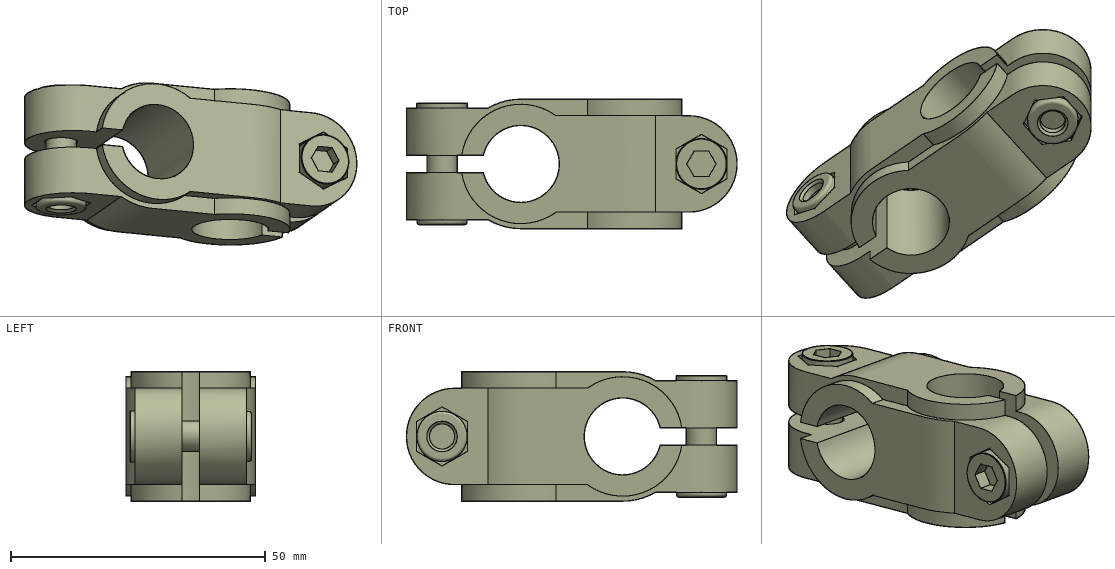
import cadquery as cq
import math


length = 65.0
depth = 25.5
bore_x = 10.0
bore_diameter = 15.1
ring_diameter = 23.45
slot_width = 3.4

arm_width = 19.0
tab_thickness = 22.0
bolt_x = 25.5

shank_diameter = 6.0
clearance_diameter = 6.5
head_diameter = 10.0
head_bevel = 0.1
socket_flats = 5.0
socket_depth = 3.0
bolt_protrusion = 1.0

seat_corner_angle = 30
seat_flats = 10.1
seat_depth = 5.0
nut_recess = 1.0
collar_diameter = 9.9
collar_rounding = 0.6
nut_bore = 4.95
nut_bore_bevel = (shank_diameter - nut_bore) / 2
nut_bore_depth = 1.95

end_x = length / 2
tab_face = tab_thickness / 2
bolt_end = tab_face + bolt_protrusion
seat_floor = tab_face - seat_depth
ease_radius = depth / 2


def turn_to_other_clamp(shape):
    return shape.rotate((0, 0, 0), (0, 1, 1), 180)


def hexagon(flats, bottom, height, corner_angle):
    """Hexagonal prism on the bolt axis; corner_angle is the direction of one corner from X."""
    corners = flats / math.cos(math.pi / 6)
    prism = cq.Workplane("XY").polygon(6, corners).extrude(height)
    return prism.rotate((0, 0, 0), (0, 0, 1), corner_angle).translate((bolt_x, 0, bottom))


def cylinder(diameter, bottom, height):
    return cq.Workplane("XY", origin=(bolt_x, 0, bottom)).circle(diameter / 2).extrude(height)


def body_half():
    """Ring around the Y bar with an arm running to the rounded tab of the other clamp."""
    tab_centre = -end_x + arm_width / 2
    half_width = arm_width / 2
    arm = (
        cq.Workplane("XZ")
        .moveTo(bore_x, -half_width)
        .lineTo(tab_centre, -half_width)
        .threePointArc((-end_x, 0), (tab_centre, half_width))
        .lineTo(bore_x, half_width)
        .close()
        .extrude(depth / 2, both=True)
    )
    ring = cq.Workplane("XZ", origin=(bore_x, 0, 0)).circle(ring_diameter / 2).extrude(depth / 2, both=True)

    ease_end = -bore_x - math.sqrt(ease_radius**2 - tab_face**2)
    mid_angle = (math.pi / 2 + math.atan2(tab_face, ease_end + bore_x)) / 2
    mid_x = -bore_x + ease_radius * math.cos(mid_angle)
    mid_y = ease_radius * math.sin(mid_angle)
    thickness = (
        cq.Workplane("XY")
        .moveTo(-end_x, tab_face)
        .lineTo(ease_end, tab_face)
        .threePointArc((mid_x, mid_y), (-bore_x, ease_radius))
        .lineTo(end_x, ease_radius)
        .lineTo(end_x, -ease_radius)
        .lineTo(-bore_x, -ease_radius)
        .threePointArc((mid_x, -mid_y), (ease_end, -tab_face))
        .lineTo(-end_x, -tab_face)
        .close()
        .extrude(depth / 2, both=True)
    )
    return arm.union(ring).intersect(thickness)


def clamp_cutter():
    """Y bore, the slot opening it toward +X, and the bolt hole with its two hexagonal seats."""
    bore = cq.Workplane("XZ", origin=(bore_x, 0, 0)).circle(bore_diameter / 2).extrude(depth / 2, both=True)
    slot_length = end_x - bore_x
    slot = cq.Workplane("XY").box(slot_length, depth, slot_width).translate((bore_x + slot_length / 2, 0, 0))
    hole = cylinder(clearance_diameter, -tab_face, tab_thickness)
    head_seat = hexagon(seat_flats, seat_floor, seat_depth, seat_corner_angle)
    nut_seat = hexagon(seat_flats, -tab_face, seat_depth, seat_corner_angle)
    return bore.union(slot).union(hole).union(head_seat).union(nut_seat)


def bolt_and_nut():
    """Socket-head bolt along Z with its head on top and a lock nut below."""
    shank = cylinder(shank_diameter, -seat_floor, 2 * seat_floor)
    head = cylinder(head_diameter, seat_floor, bolt_end - seat_floor).faces(">Z").chamfer(head_bevel)
    socket = hexagon(socket_flats, bolt_end - socket_depth, socket_depth, 0)

    nut_height = seat_depth - nut_recess
    nut_hexagon = hexagon(seat_flats, -seat_floor - nut_height, nut_height, seat_corner_angle)
    collar = cylinder(collar_diameter, -bolt_end, bolt_end - seat_floor).faces("<Z").fillet(collar_rounding)
    nut = nut_hexagon.union(collar)
    nut = nut.cut(cylinder(nut_bore, -bolt_end, nut_bore_depth))
    mouth = cq.Solid.makeCone(
        shank_diameter / 2, nut_bore / 2, nut_bore_bevel, cq.Vector(bolt_x, 0, -bolt_end), cq.Vector(0, 0, 1)
    )
    nut = nut.cut(cq.Workplane(mouth))
    return shank.union(head).cut(socket).union(nut)


half = body_half()
cutter = clamp_cutter()
bolt = bolt_and_nut()

result = half.union(turn_to_other_clamp(half))
for part in (cutter, turn_to_other_clamp(cutter)):
    result = result.cut(part)
for part in (bolt, turn_to_other_clamp(bolt)):
    result = result.union(part)